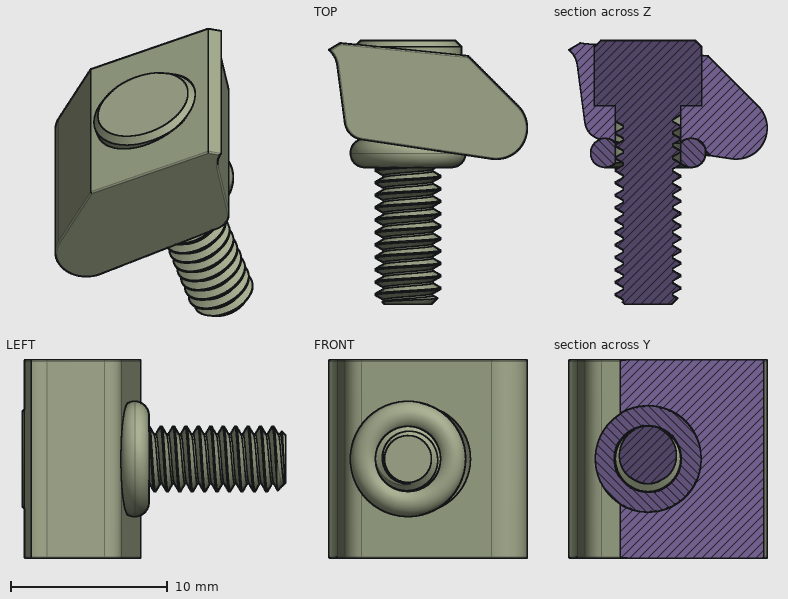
import cadquery as cq
import math


thread_pitch = 25.4 / 32
major_radius = 4.166 / 2
thread_depth = 0.613 * thread_pitch
thread_root_width = thread_pitch / 6
thread_flank_angle = 30.0
thread_phase = -11.27
screw_length = 12.7
tip_radius = 1.5
head_radius = 6.858 / 2
head_height = 4.166
head_chamfer = 0.4

ring_centre_y = -3.03
ring_section_radius = 0.925
ring_major_radius = 2.765

block_width = 12.7
block_height = 12.7
block_edge_round = 0.1
tip_point = (-5.07, 3.57)
crest_point = (-4.33, 4.01)
shoulder_x = 3.84
nose_radius = 2.0
nose_centre = (tip_point[0] + block_width - nose_radius, -1.43)
nose_slope_angle = 45.0
heel_radius = 1.27
heel_centre = (-2.79, -0.91)
side_lean_angle = 7.5
neck_y = 2.59

seat_flare_start = 0.14
seat_flare_length = 1.0


def on_circle(centre, radius, angle):
    a = math.radians(angle)
    return (centre[0] + radius * math.cos(a), centre[1] + radius * math.sin(a))


def revolve_about_y(profile):
    """Revolve a profile drawn in XY (X = radius) about the Y axis."""
    return profile.revolve(360, (0, 0), (0, 1))


def make_torus():
    profile = cq.Workplane("XY").center(ring_major_radius, ring_centre_y).circle(ring_section_radius)
    return profile.revolve(360, (-ring_major_radius, 0), (-ring_major_radius, 1))


def screw_cylinder(radius, y_start, y_end):
    return cq.Workplane("XZ", origin=(0, y_end, 0)).circle(radius).extrude(y_end - y_start)


def make_block_blank():
    run = nose_centre[0] - heel_centre[0]
    rise = nose_centre[1] - heel_centre[1]
    gap = math.hypot(run, rise)
    tangent_tilt = math.asin((nose_radius - heel_radius) / gap)
    underside_angle = math.degrees(math.atan2(rise, run) - tangent_tilt)
    underside_normal = underside_angle - 90
    side_normal = side_lean_angle - 180

    nose_top = on_circle(nose_centre, nose_radius, nose_slope_angle)
    nose_middle = on_circle(nose_centre, nose_radius, (nose_slope_angle + underside_normal) / 2)
    nose_bottom = on_circle(nose_centre, nose_radius, underside_normal)
    heel_bottom = on_circle(heel_centre, heel_radius, underside_normal)
    heel_middle = on_circle(heel_centre, heel_radius, (underside_normal + side_normal) / 2)
    heel_side = on_circle(heel_centre, heel_radius, side_normal)
    shoulder_rise = (nose_top[0] - shoulder_x) / math.tan(math.radians(nose_slope_angle))
    shoulder = (shoulder_x, nose_top[1] + shoulder_rise)
    neck_shift = (neck_y - heel_side[1]) * math.tan(math.radians(side_lean_angle))
    neck = (heel_side[0] - neck_shift, neck_y)

    return (
        cq.Workplane("XY", origin=(0, 0, -block_height / 2))
        .moveTo(*tip_point)
        .lineTo(*crest_point)
        .lineTo(*shoulder)
        .lineTo(*nose_top)
        .threePointArc(nose_middle, nose_bottom)
        .lineTo(*heel_bottom)
        .threePointArc(heel_middle, heel_side)
        .lineTo(*neck)
        .tangentArcPoint(tip_point, relative=False)
        .close()
        .extrude(block_height)
        .faces("<Z or >Z")
        .fillet(block_edge_round)
    )


def make_ring_seat():
    """Hollow that matches the ring, flaring out at 45 degrees from near its mid-plane."""
    start_y = ring_centre_y + seat_flare_start
    start_radius = ring_major_radius + math.sqrt(ring_section_radius**2 - seat_flare_start**2)
    flare = revolve_about_y(
        cq.Workplane("XY")
        .moveTo(0, start_y)
        .lineTo(start_radius, start_y)
        .lineTo(start_radius + seat_flare_length, start_y - seat_flare_length)
        .lineTo(0, start_y - seat_flare_length)
        .close()
    )
    return make_torus().union(flare)


def make_block():
    head_recess = screw_cylinder(head_radius, 0, head_height)
    screw_hole = screw_cylinder(major_radius, -screw_length, head_height)
    return make_block_blank().cut(head_recess).cut(screw_hole).cut(make_ring_seat())


def make_ring():
    return make_torus().cut(screw_cylinder(major_radius, -screw_length, 0))


def make_thread_groove():
    """Helical groove about Z, cut a little oversize outside the major diameter."""
    overcut = 0.1
    turns_past_tip = math.ceil((screw_length + thread_phase) / thread_pitch) + 1
    start = thread_phase - turns_past_tip * thread_pitch
    turns = math.floor(-start / thread_pitch) - 1
    spread = math.tan(math.radians(thread_flank_angle))
    root_half = thread_root_width / 2
    mouth_half = root_half + (thread_depth + overcut) * spread
    root_radius = major_radius - thread_depth
    mouth_radius = major_radius + overcut

    helix = cq.Wire.makeHelix(thread_pitch, turns * thread_pitch, root_radius, center=cq.Vector(0, 0, start))
    return (
        cq.Workplane("XZ")
        .moveTo(root_radius, start - root_half)
        .lineTo(mouth_radius, start - mouth_half)
        .lineTo(mouth_radius, start + mouth_half)
        .lineTo(root_radius, start + root_half)
        .close()
        .sweep(cq.Workplane("XY").add(helix), isFrenet=True)
    )


def make_screw():
    tip_chamfer = major_radius - tip_radius
    body = revolve_about_y(
        cq.Workplane("XY")
        .moveTo(0, -screw_length)
        .lineTo(tip_radius, -screw_length)
        .lineTo(major_radius, -screw_length + tip_chamfer)
        .lineTo(major_radius, 0)
        .lineTo(head_radius, 0)
        .lineTo(head_radius, head_height - head_chamfer)
        .lineTo(head_radius - head_chamfer, head_height)
        .lineTo(0, head_height)
        .close()
    )
    groove = make_thread_groove().rotate((0, 0, 0), (1, 0, 0), -90)
    return body.cut(groove)


block = make_block()
ring = make_ring()
screw = make_screw()

result = cq.Compound.makeCompound([block.solids().val(), ring.solids().val(), screw.solids().val()])